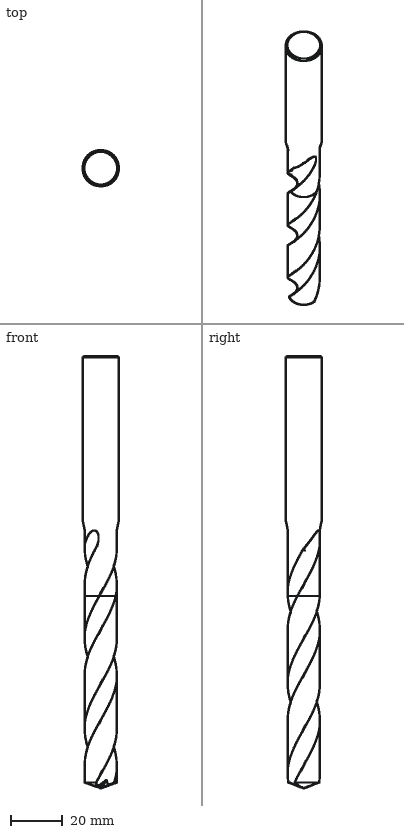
import cadquery as cq
import math

total_length = 167.0
shank_start = 103.4
neck_top = 99.9
flute_end = 91.8
split_height = 74.3

shank_radius = 7.0
drill_radius = 6.26
shank_chamfer = 0.7
point_angle = 140.0
point_height = drill_radius / math.tan(math.radians(point_angle / 2))

flute_count = 2
flute_pitch = 69.8
flute_front_height = 33.4
flute_half_angle = 36.0
web_radius = 2.5
flute_start = -1.7
runout_length = 13.4
runout_lift = 0.25
runout_drift = 0.75

rim_half_width = drill_radius * math.sin(math.radians(flute_half_angle))
rim_depth = drill_radius * math.cos(math.radians(flute_half_angle)) - web_radius
groove_radius = (rim_half_width**2 + rim_depth**2) / (2 * rim_depth)
groove_offset = web_radius + groove_radius

gash_web = 0.3
gash_slope = 38.0
gash_turn = 55.0
gash_side = -0.3
gash_reach = 8.4


def flute_angle(height):
    """Direction of the first flute about the axis, in degrees from +X."""
    return -90.0 + (height - flute_front_height) * 360.0 / flute_pitch


def groove_section(height):
    """The groove's circle in a level plane at the given height."""
    angle = math.radians(flute_angle(height))
    center = (groove_offset * math.cos(angle), groove_offset * math.sin(angle))
    return cq.Workplane("XY", origin=(0, 0, height)).moveTo(*center).circle(groove_radius)


def helical_cutter():
    """The groove swept round the axis, at a constant twist."""
    rise = flute_end - flute_start
    return groove_section(flute_start).twistExtrude(rise, rise * 360.0 / flute_pitch)


def runout_cutter():
    """Straight continuation of the groove, leaning round with the helix and lifting out of the body."""
    angle = math.radians(flute_angle(flute_end))
    sideways = runout_length * runout_drift
    outward = runout_length * runout_lift
    direction = cq.Vector(
        outward * math.cos(angle) - sideways * math.sin(angle),
        outward * math.sin(angle) + sideways * math.cos(angle),
        runout_length,
    )
    section = groove_section(flute_end).wires().val()
    return cq.Workplane("XY").add(cq.Solid.extrudeLinear(section, [], direction))


def gash_cutter():
    """Wedge with its sloped floor facing -Y and down, then turned about the axis."""
    run = gash_reach - gash_web
    rise = run / math.tan(math.radians(gash_slope))
    return (
        cq.Workplane("YZ", origin=(-gash_reach, 0, 0))
        .polyline([(-gash_web, 0), (-gash_reach, rise), (-gash_reach, 0)])
        .close()
        .extrude(gash_reach + gash_side)
        .rotate((0, 0, 0), (0, 0, 1), gash_turn)
    )


def cut_each_flute(body, cutter):
    for index in range(flute_count):
        body = body.cut(cutter.rotate((0, 0, 0), (0, 0, 1), index * 360.0 / flute_count))
    return body


def make_cutting_head():
    outline = [
        (0, 0),
        (drill_radius, point_height),
        (drill_radius, split_height),
        (0, split_height),
    ]
    head = cq.Workplane("XZ").polyline(outline).close().revolve(360, (0, 0), (0, 1))
    head = cut_each_flute(head, helical_cutter())
    return cut_each_flute(head, gash_cutter())


def make_shank():
    outline = [
        (0, split_height),
        (drill_radius, split_height),
        (drill_radius, neck_top),
        (shank_radius, shank_start),
        (shank_radius, total_length - shank_chamfer),
        (shank_radius - shank_chamfer, total_length),
        (0, total_length),
    ]
    shank = cq.Workplane("XZ").polyline(outline).close().revolve(360, (0, 0), (0, 1))
    shank = cut_each_flute(shank, helical_cutter())
    return cut_each_flute(shank, runout_cutter())


cutting_head = make_cutting_head()
shank = make_shank()
result = cq.Compound.makeCompound([cutting_head.val(), shank.val()])